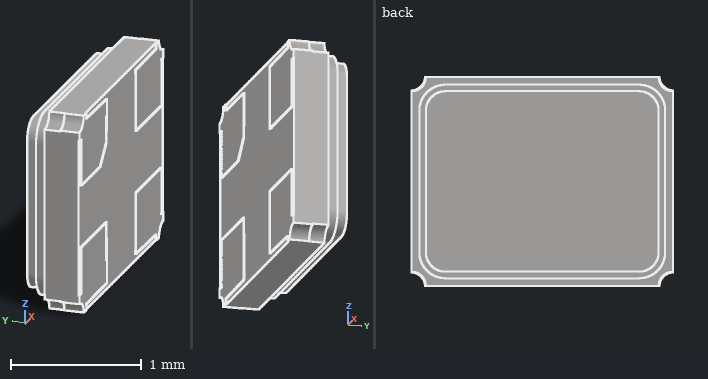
import cadquery as cq

length = 2.0
height = 1.6
half_length = length / 2
half_height = height / 2

total_depth = 0.46
pad_thickness = 0.005
lid_step_depth = 0.09
base_depth = total_depth - pad_thickness - 2 * lid_step_depth
base_front = -total_depth / 2 + pad_thickness
lid_start = base_front + base_depth

notch_radius = 0.11
plating_thickness = 0.005
plating_depth = 0.15

pad_reach_x = 0.65
pad_reach_z = 0.55
pad_tip_x = 0.655
pad_inset_x = 0.05
pad_inset_z = 0.052
pad_tab_inset_z = 0.045
tab_width_x = 0.168
tab_width_z = 0.175
index_chamfer = 0.15

lid_inset = 0.06
lid_step_inset = 0.05
lid_corner_radius = 0.2

CORNERS = [(sx, sz) for sx in (-1, 1) for sz in (-1, 1)]
INDEX_CORNER = (-1, 1)


def plane_at(y):
    """XZ plane at depth y whose extrusions run towards +Y."""
    return cq.Plane(origin=(0, y, 0), xDir=(1, 0, 0), normal=(0, -1, 0))


def block(size_x, size_z, y, depth):
    return cq.Workplane(plane_at(y)).rect(size_x, size_z).extrude(-depth)


def corner_cylinder(corner, radius, y, depth):
    sx, sz = corner
    center = (sx * half_length, sz * half_height)
    return cq.Workplane(plane_at(y)).center(*center).circle(radius).extrude(-depth)


def make_pad(corner):
    """Raised pad with a tab that wraps around the package corner."""
    sx, sz = corner
    outline = [
        (0, 0),
        (0, tab_width_z),
        (pad_inset_x, tab_width_z),
        (pad_inset_x, pad_reach_z),
    ]
    if corner == INDEX_CORNER:
        outline += [
            (pad_reach_x - index_chamfer, pad_reach_z),
            (pad_reach_x, pad_reach_z - index_chamfer),
        ]
    else:
        outline.append((pad_reach_x, pad_reach_z))
    outline += [
        (pad_tip_x, pad_inset_z),
        (tab_width_x, pad_tab_inset_z),
        (tab_width_x, 0),
    ]
    points = [(sx * (half_length - x), sz * (half_height - z)) for x, z in outline]
    pad_plane = plane_at(base_front - pad_thickness)
    return cq.Workplane(pad_plane).polyline(points).close().extrude(-pad_thickness)


def make_base():
    """Package base with its plated corners and four contact pads."""
    base = block(length, height, base_front, base_depth)
    for corner in CORNERS:
        base = base.union(make_pad(corner))
    pad_front = base_front - pad_thickness
    plated_depth = pad_thickness + plating_depth
    plated_radius = notch_radius - plating_thickness
    for corner in CORNERS:
        base = base.cut(corner_cylinder(corner, plated_radius, pad_front, plated_depth))
        bare_start = base_front + plating_depth
        bare_depth = base_depth - plating_depth
        base = base.cut(corner_cylinder(corner, notch_radius, bare_start, bare_depth))
    return base


def make_lid_step(inset, radius, y):
    step = block(length - 2 * inset, height - 2 * inset, y, lid_step_depth)
    return step.edges("|Y").fillet(radius)


def make_lid():
    """Two-step lid with concentric rounded corners."""
    lower = make_lid_step(lid_inset, lid_corner_radius, lid_start)
    upper = make_lid_step(
        lid_inset + lid_step_inset,
        lid_corner_radius - lid_step_inset,
        lid_start + lid_step_depth,
    )
    return lower.union(upper)


base = make_base()
lid = make_lid()

result = cq.Compound.makeCompound([base.solids().val(), lid.solids().val()])